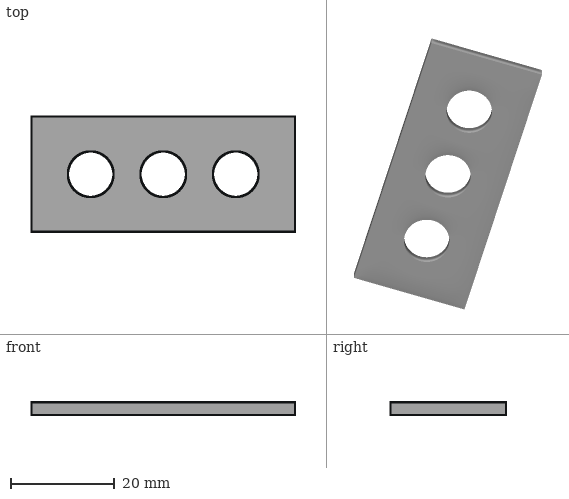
import cadquery as cq

length = 50.8
width = 22.25
thickness = 2.5

hole_diameter = 8.75
hole_pitch = 13.95
hole_count = 3

plate = cq.Workplane("XY").box(length, width, thickness)

result = (
    plate.faces(">Z")
    .workplane()
    .rarray(hole_pitch, 0.5, hole_count, 1)
    .hole(hole_diameter)
)